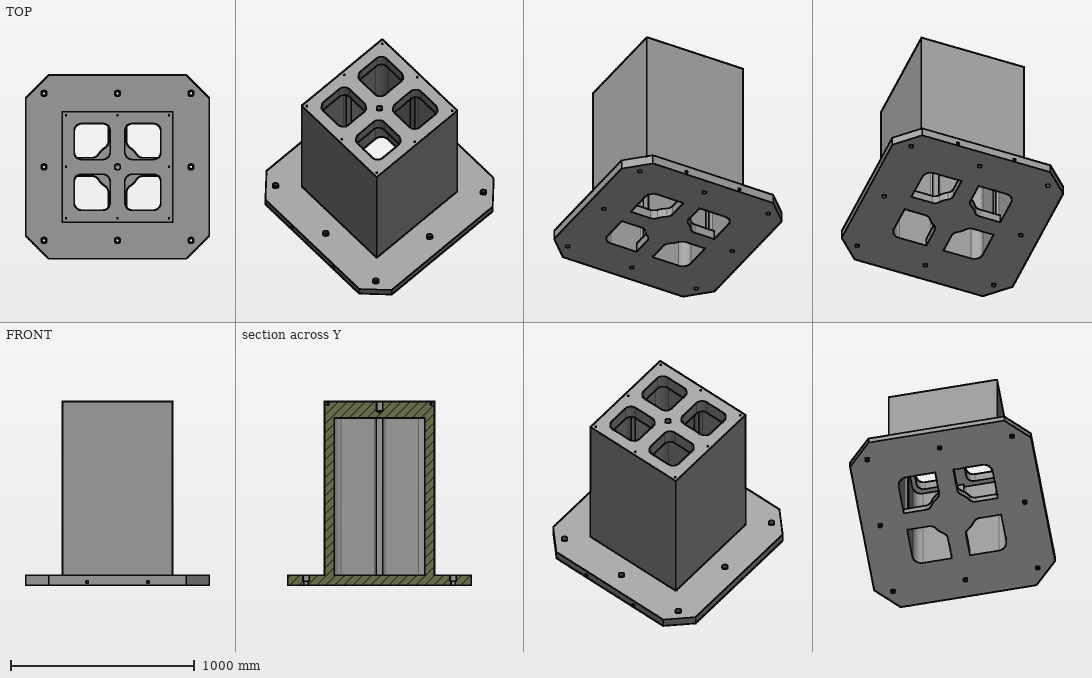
import cadquery as cq
import math

base_side = 1000.0
base_height = 55.0
corner_cut = 125.0

total_height = 1000.0
column_side = 600.0
wall = 40.0
top_plate_height = 90.0
chamber_side = column_side - 2 * wall
chamber_radius = 50.0
chamber_height = total_height - base_height - top_plate_height

rib_width = 35.0
rib_depth = 15.0
rib_root_radius = 10.0

window_inner = 40.0
window_outer = 235.0
window_radius = 40.0

cross_width = 100.0
hub_radius = 125.0
hub_blend_radius = 40.0

anchor_pitch = 400.0
anchor_diameter = 22.0
anchor_bore_diameter = 32.0
anchor_bore_depth = 32.0
top_hole_pitch = 280.0
top_hole_diameter = 5.0
top_hole_depth = 20.0
center_hole_diameter = 32.0
center_hole_depth = 50.0
drill_point_angle = 118.0
side_hole_diameter = 14.0
side_hole_depth = 40.0
side_hole_x = 165.0
side_hole_z = 18.0


def ring_of_eight(pitch):
    """Corners and side midpoints of a square, without its center."""
    steps = (-pitch, 0, pitch)
    return [(x, y) for x in steps for y in steps if (x, y) != (0, 0)]


def rounded_prism(side, radius, bottom, height):
    return (
        cq.Workplane("XY", origin=(0, 0, bottom))
        .rect(side, side)
        .extrude(height)
        .edges("|Z")
        .fillet(radius)
    )


def make_body():
    base = (
        cq.Workplane("XY")
        .rect(base_side, base_side)
        .extrude(base_height)
        .edges("|Z")
        .chamfer(corner_cut)
    )
    column = cq.Workplane("XY").rect(column_side, column_side).extrude(total_height)
    return base.union(column)


def make_chamber():
    """Space inside the column, with the wall ribs already taken out of it."""
    chamber = rounded_prism(chamber_side, chamber_radius, base_height, chamber_height)
    half_side = chamber_side / 2
    rib_front = half_side - rib_depth
    half_rib = rib_width / 2
    half_root = half_rib + rib_root_radius
    root_front = half_side - rib_root_radius
    rib = (
        cq.Workplane("XY", origin=(0, 0, base_height))
        .moveTo(-half_root, half_side + wall / 2)
        .lineTo(-half_root, half_side)
        .radiusArc((-half_rib, root_front), rib_root_radius)
        .lineTo(-half_rib, rib_front)
        .lineTo(half_rib, rib_front)
        .lineTo(half_rib, root_front)
        .radiusArc((half_root, half_side), rib_root_radius)
        .lineTo(half_root, half_side + wall / 2)
        .close()
        .extrude(chamber_height)
    )
    for quarter_turn in range(4):
        chamber = chamber.cut(rib.rotate((0, 0, 0), (0, 0, 1), 90 * quarter_turn))
    return chamber


def make_windows():
    size = window_outer - window_inner
    center = (window_outer + window_inner) / 2
    window = rounded_prism(size, window_radius, total_height - top_plate_height, top_plate_height)
    windows = cq.Workplane("XY")
    for x in (-center, center):
        for y in (-center, center):
            windows = windows.add(window.translate((x, y, 0)))
    return windows.combine()


def make_base_openings():
    """Chamber outline carried through the base plate, less the cross and its hub."""
    half_side = chamber_side / 2
    half_arm = cross_width / 2
    blend_x = half_arm + hub_blend_radius
    blend_y = math.sqrt((hub_radius + hub_blend_radius) ** 2 - blend_x**2)
    hub_share = hub_radius / (hub_radius + hub_blend_radius)
    touch_x = blend_x * hub_share
    touch_y = blend_y * hub_share
    hub_mid = hub_radius * math.sqrt(0.5)
    corner = half_side - chamber_radius
    opening = (
        cq.Workplane("XY")
        .moveTo(half_arm, half_side)
        .lineTo(half_arm, blend_y)
        .radiusArc((touch_x, touch_y), -hub_blend_radius)
        .threePointArc((hub_mid, hub_mid), (touch_y, touch_x))
        .radiusArc((blend_y, half_arm), -hub_blend_radius)
        .lineTo(half_side, half_arm)
        .lineTo(half_side, corner)
        .radiusArc((corner, half_side), -chamber_radius)
        .close()
        .extrude(base_height)
    )
    openings = cq.Workplane("XY")
    for quarter_turn in range(4):
        openings = openings.add(opening.rotate((0, 0, 0), (0, 0, 1), 90 * quarter_turn))
    return openings.combine()


def cut_anchor_holes(body):
    return (
        body.cut(
            cq.Workplane("XY")
            .pushPoints(ring_of_eight(anchor_pitch))
            .circle(anchor_diameter / 2)
            .extrude(base_height)
        ).cut(
            cq.Workplane("XY", origin=(0, 0, base_height))
            .pushPoints(ring_of_eight(anchor_pitch))
            .circle(anchor_bore_diameter / 2)
            .extrude(-anchor_bore_depth)
        )
    )


def cut_top_holes(body):
    small_holes = (
        cq.Workplane("XY", origin=(0, 0, total_height))
        .pushPoints(ring_of_eight(top_hole_pitch))
        .circle(top_hole_diameter / 2)
        .extrude(-top_hole_depth)
    )
    radius = center_hole_diameter / 2
    shoulder_z = total_height - center_hole_depth
    point_height = radius / math.tan(math.radians(drill_point_angle / 2))
    center_hole = (
        cq.Workplane("XZ")
        .moveTo(0, total_height)
        .lineTo(radius, total_height)
        .lineTo(radius, shoulder_z)
        .lineTo(0, shoulder_z - point_height)
        .close()
        .revolve(360, (0, 0), (0, 1))
    )
    return body.cut(small_holes).cut(center_hole)


def cut_side_holes(body):
    """Blind holes in the edge of the base plate, alike on the -Y and +Y sides."""
    holes = (
        cq.Workplane("XZ", origin=(0, -base_side / 2, 0))
        .pushPoints([(-side_hole_x, side_hole_z), (side_hole_x, side_hole_z)])
        .circle(side_hole_diameter / 2)
        .extrude(-side_hole_depth)
    )
    return body.cut(holes).cut(holes.mirror("XZ"))


body = make_body().cut(make_chamber()).cut(make_windows()).cut(make_base_openings())
body = cut_anchor_holes(body)
body = cut_top_holes(body)
result = cut_side_holes(body)